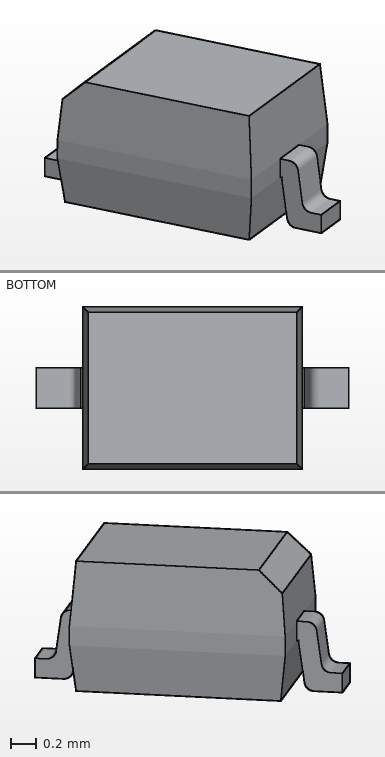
import cadquery as cq
import math

lead_span = 2.5
body_length = 1.755
body_width = 1.3
overall_height = 1.1

standoff = 0.025
band_bottom = 0.412
band_top = 0.572
end_inset = 0.045
bevel_length = 0.222
bevel_height = 0.18

lead_thickness = band_top - band_bottom
lead_width = 0.325
leg_angle = 8.0
foot_length = 0.3
bend_radius = 0.08


def tapered_block(base_height, tip_height):
    """Block from the full-size band outline to the inset outline."""
    return (
        cq.Workplane("XY", origin=(0, 0, base_height))
        .rect(body_length, body_width)
        .workplane(offset=tip_height - base_height)
        .rect(body_length - 2 * end_inset, body_width - 2 * end_inset)
        .loft(ruled=True)
    )


def make_body():
    """Drafted housing with a straight middle band and one bevelled top edge."""
    band = (
        cq.Workplane("XY", origin=(0, 0, band_bottom))
        .rect(body_length, body_width)
        .extrude(band_top - band_bottom)
    )
    body = (
        band.union(tapered_block(band_top, overall_height), clean=False)
        .union(tapered_block(band_bottom, standoff), clean=False)
    )

    draft_at_bevel = end_inset * (overall_height - bevel_height - band_top) / (overall_height - band_top)
    bevel_low_x = -body_length / 2 + draft_at_bevel
    bevel_high_x = -body_length / 2 + bevel_length
    slope = bevel_height / (bevel_high_x - bevel_low_x)
    outside_x = -body_length / 2
    outside_z = overall_height - bevel_height - slope * draft_at_bevel
    bevel_cutter = (
        cq.Workplane("XZ")
        .moveTo(outside_x, outside_z)
        .lineTo(bevel_high_x, overall_height)
        .lineTo(outside_x, overall_height)
        .close()
        .extrude(body_width / 2, both=True)
    )
    return body.cut(bevel_cutter)


def make_lead():
    """Lead at the -X end, bent down from the body's end face to a flat foot."""
    tip_x = -lead_span / 2
    root_x = -body_length / 2
    lean = math.tan(math.radians(leg_angle))
    leg_run = lead_thickness / math.cos(math.radians(leg_angle))

    heel_x = tip_x + foot_length
    under_shoulder_x = heel_x + band_bottom * lean
    shoulder_x = heel_x - leg_run + band_top * lean
    instep_x = heel_x - leg_run + lead_thickness * lean

    lead = (
        cq.Workplane("XZ")
        .moveTo(tip_x, 0)
        .lineTo(heel_x, 0)
        .lineTo(under_shoulder_x, band_bottom)
        .lineTo(root_x, band_bottom)
        .lineTo(root_x, band_top)
        .lineTo(shoulder_x, band_top)
        .lineTo(instep_x, lead_thickness)
        .lineTo(tip_x, lead_thickness)
        .close()
        .extrude(lead_width / 2, both=True)
    )

    for x, z in ((heel_x, 0), (shoulder_x, band_top), (instep_x, lead_thickness)):
        nearest_corner = cq.selectors.NearestToPointSelector((x, 0, z))
        lead = lead.edges("|Y").edges(nearest_corner).fillet(bend_radius)
    return lead


body = make_body()
leads = [make_lead().rotate((0, 0, 0), (0, 0, 1), turn) for turn in (0, 180)]

result = cq.Compound.makeCompound([body.val(), *[lead.val() for lead in leads]])